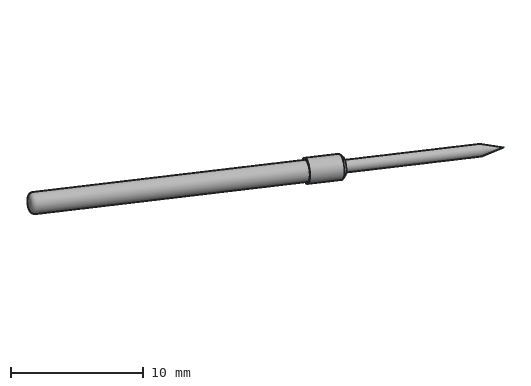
import cadquery as cq

total_length = 37.8
barrel_diameter = 1.7
collar_diameter = 2.0
plunger_diameter = 1.0

tip_length = 1.85
plunger_reach = 12.78
collar_length = 3.0
collar_chamfer = 0.25
tail_rounding = 0.4

tail_y = -total_length / 2
tip_y = total_length / 2
collar_front_y = tip_y - plunger_reach
collar_rear_y = collar_front_y - collar_length


def cylinder(diameter, start_y, end_y):
    """Round bar about the Y axis from start_y up to end_y."""
    plane = cq.Workplane("XZ", origin=(0, end_y, 0))
    return plane.circle(diameter / 2).extrude(end_y - start_y)


def make_barrel():
    return cylinder(barrel_diameter, tail_y, collar_rear_y).faces("<Y").edges().fillet(tail_rounding)


def make_collar():
    collar = cylinder(collar_diameter, collar_rear_y, collar_front_y)
    return collar.faces(">Y").edges().chamfer(collar_chamfer)


def make_plunger():
    """Plunger shank and its sharp conical point, as one revolved outline."""
    radius = plunger_diameter / 2
    outline = (
        cq.Workplane("XY")
        .moveTo(0, collar_front_y)
        .lineTo(radius, collar_front_y)
        .lineTo(radius, tip_y - tip_length)
        .lineTo(0, tip_y)
        .close()
    )
    return outline.revolve(360, (0, 0, 0), (0, 1, 0))


result = make_barrel().union(make_collar()).union(make_plunger())